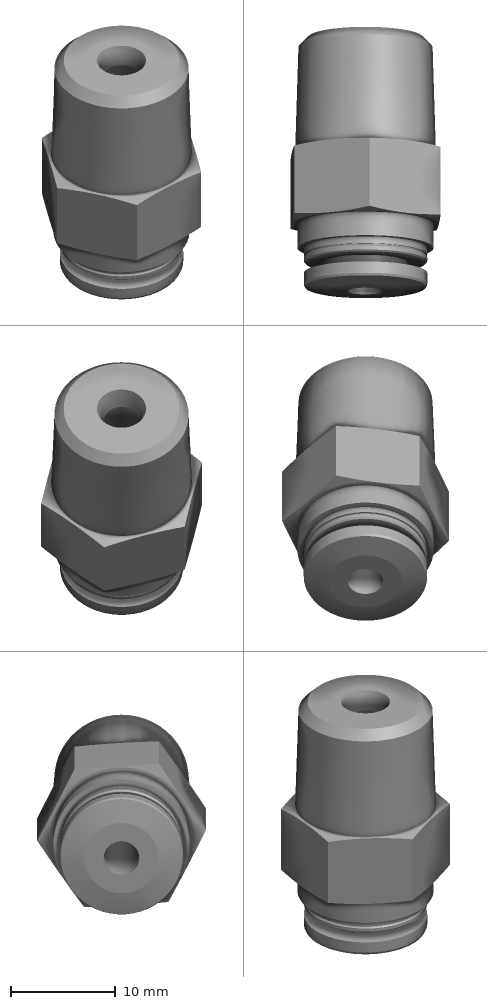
import cadquery as cq
import math

total_height = 24.65
hex_across_flats = 14.0
hex_across_corners = hex_across_flats / math.cos(math.radians(30))
hex_bottom = 6.48
hex_top = 13.6
hex_chamfer_radius = 6.95
hex_chamfer_drop = 0.27

thread_base_radius = 6.73
thread_taper = 1 / 16
thread_chamfer_height = 0.89
thread_chamfer_bottom = total_height - thread_chamfer_height
thread_end_radius = thread_base_radius - (thread_chamfer_bottom - hex_top) * thread_taper / 2
thread_chamfer_radius = thread_end_radius - thread_chamfer_height

collar_radius = 13.0 / 2
collar_bottom = 4.2
sleeve_radius = 11.8 / 2
sleeve_bottom = 3.52
ring_top = 3.4
ring_bottom = 2.75
ring_chamfer = 0.15
ring_groove_radius = sleeve_radius - ring_chamfer

neck_radius = 8.0 / 2
neck_flare_top = 2.22
neck_flare = 0.2
button_top = 1.75
button_rim_top = 0.65
button_rim_bottom = 0.42
button_rim_inset = 0.1
button_end_radius = 3.55

bore_diameter = 3.4
mouth_diameter = 4.68
mouth_depth = 1.85


def revolve_profile(points):
    """Revolve an outline of (radius, height) points about the Z axis."""
    return cq.Workplane("XZ").polyline(points).close().revolve(360, (0, 0), (0, 1))


def make_hexagon():
    """Hexagon with points on Y and conically chamfered corners at both ends."""
    prism = (
        cq.Workplane("XY", origin=(0, 0, hex_bottom))
        .polygon(6, hex_across_corners)
        .extrude(hex_top - hex_bottom)
        .rotate((0, 0, 0), (0, 0, 1), 30)
    )
    corner_radius = hex_across_corners / 2
    chamfer_envelope = revolve_profile([
        (0, hex_bottom),
        (hex_chamfer_radius, hex_bottom),
        (corner_radius, hex_bottom + hex_chamfer_drop),
        (corner_radius, hex_top - hex_chamfer_drop),
        (hex_chamfer_radius, hex_top),
        (0, hex_top),
    ])
    return prism.intersect(chamfer_envelope)


def make_thread_body():
    return revolve_profile([
        (0, hex_top),
        (thread_base_radius, hex_top),
        (thread_end_radius, thread_chamfer_bottom),
        (thread_chamfer_radius, total_height),
        (0, total_height),
    ])


def make_push_end():
    """Release button, neck, retaining ring and collar, from the bottom up."""
    return revolve_profile([
        (0, 0),
        (button_end_radius, 0),
        (sleeve_radius - button_rim_inset, button_rim_bottom),
        (sleeve_radius, button_rim_top),
        (sleeve_radius, button_top),
        (neck_radius + neck_flare, button_top),
        (neck_radius, neck_flare_top),
        (neck_radius, ring_bottom),
        (sleeve_radius - ring_chamfer, ring_bottom),
        (sleeve_radius, ring_bottom + ring_chamfer),
        (sleeve_radius, ring_top - ring_chamfer),
        (ring_groove_radius, ring_top),
        (ring_groove_radius, sleeve_bottom),
        (sleeve_radius, sleeve_bottom),
        (sleeve_radius, collar_bottom),
        (collar_radius, collar_bottom),
        (collar_radius, hex_bottom),
        (0, hex_bottom),
    ])


def make_bore():
    """Through bore that widens to a conical mouth at the thread end."""
    return revolve_profile([
        (0, 0),
        (bore_diameter / 2, 0),
        (bore_diameter / 2, total_height - mouth_depth),
        (mouth_diameter / 2, total_height),
        (0, total_height),
    ])


result = make_hexagon().union(make_thread_body()).union(make_push_end()).cut(make_bore())